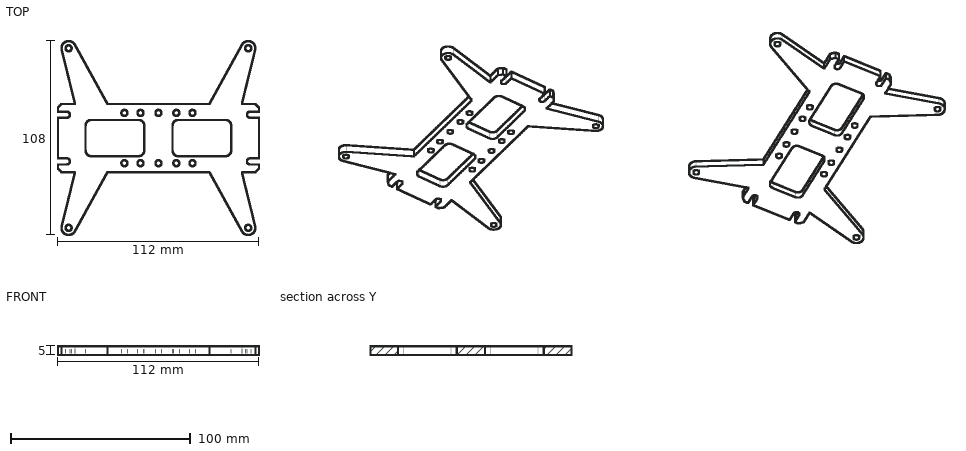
import cadquery as cq
import math

plate_length = 112.0
plate_width = 38.1
thickness = 5.0
plate_corner_chamfer = 2.1
half_length = plate_length / 2
half_width = plate_width / 2

overall_width = 108.0
tip_radius = 4.0
tip_center = overall_width / 2 - tip_radius
arm_root_outer_x = 46.5
arm_root_inner_x = 28.3

hole_diameter = 3.2
hole_row_y = 14.0
inner_hole_x = 10.0
outer_hole_x = 18.9

window_inner_x = 8.0
window_outer_x = 40.4
window_width = 20.0
window_corner_radius = 3.0

slot_width = 3.2
slot_depth = 6.7
slot_y = 13.0

SIDES = (-1, 1)


def tip_point(angle):
    """Point of the arm tip circle at the given angle from +X."""
    return (
        tip_center + tip_radius * math.cos(angle),
        tip_center + tip_radius * math.sin(angle),
    )


def tangent_angle(root_x, side):
    """Angle on the tip circle where a line from the arm root touches it."""
    dx = root_x - tip_center
    dy = half_width - tip_center
    return math.atan2(dy, dx) + side * math.acos(tip_radius / math.hypot(dx, dy))


def make_plate():
    plate = cq.Workplane("XY").box(plate_length, plate_width, thickness, centered=(True, True, False))
    return plate.edges("|Z").chamfer(plate_corner_chamfer)


def make_arm():
    """Arm in the +X +Y quadrant, with its sides tangent to the round tip."""
    outer_angle = tangent_angle(arm_root_outer_x, 1)
    inner_angle = tangent_angle(arm_root_inner_x, -1) + 2 * math.pi
    middle_angle = (outer_angle + inner_angle) / 2
    return (
        cq.Workplane("XY")
        .moveTo(arm_root_inner_x, 0)
        .lineTo(arm_root_outer_x, 0)
        .lineTo(arm_root_outer_x, half_width)
        .lineTo(*tip_point(outer_angle))
        .threePointArc(tip_point(middle_angle), tip_point(inner_angle))
        .lineTo(arm_root_inner_x, half_width)
        .close()
        .extrude(thickness)
    )


def make_window():
    """Rounded rectangular window on the +X side."""
    window = (
        cq.Workplane("XY")
        .center((window_inner_x + window_outer_x) / 2, 0)
        .rect(window_outer_x - window_inner_x, window_width)
        .extrude(thickness)
    )
    return window.edges("|Z").fillet(window_corner_radius)


def make_end_slots():
    """Round-bottomed slots, open at both ends of the plate."""
    centers = [(x * half_length, y * slot_y) for x in SIDES for y in SIDES]
    return cq.Workplane("XY").pushPoints(centers).slot2D(2 * slot_depth, slot_width).extrude(thickness)


def make_holes():
    row_x = (-outer_hole_x, -inner_hole_x, 0, inner_hole_x, outer_hole_x)
    centers = [(x, side * hole_row_y) for x in row_x for side in SIDES]
    centers += [(x * tip_center, y * tip_center) for x in SIDES for y in SIDES]
    return cq.Workplane("XY").pushPoints(centers).circle(hole_diameter / 2).extrude(thickness)


def mirror_in_x(body):
    return body.union(body.mirror("YZ"))


def mirror_in_y(body):
    return body.union(body.mirror("XZ"))


arms = mirror_in_y(mirror_in_x(make_arm()))
windows = mirror_in_x(make_window())

result = make_plate().union(arms).cut(windows).cut(make_end_slots()).cut(make_holes())